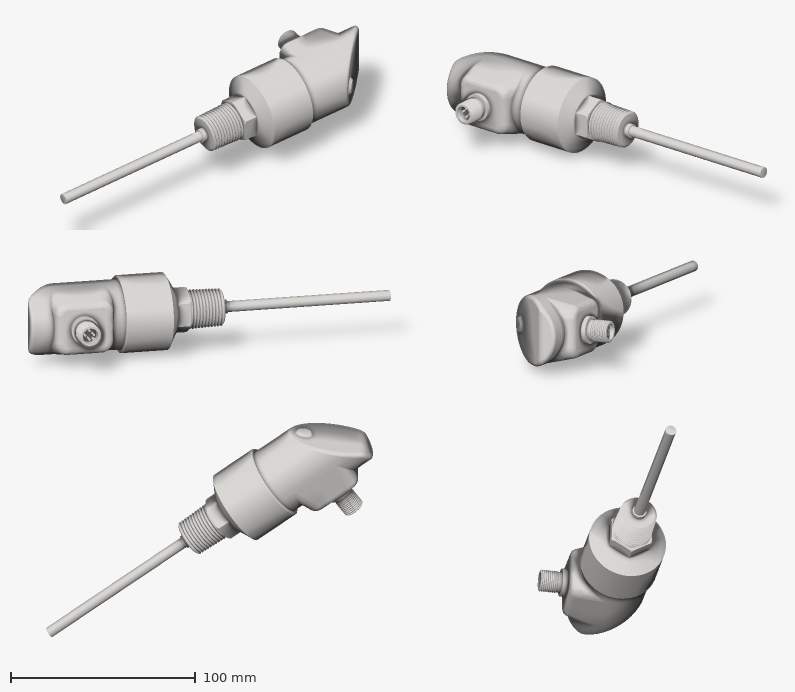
import cadquery as cq
import math

TOTAL_LENGTH = 204.5
TOTAL_WIDTH = 60.0

ROD_DIAMETER = 6.0
ROD_COLLAR_DIAMETER = 7.5
ROD_COLLAR_LENGTH = 2.9

THREAD_END_Y = 93.7
THREAD_TOP_Y = 113.0
THREAD_TIP_DIAMETER = 20.5
THREAD_TAPER = 1 / 16
THREAD_DEPTH = 1.2
THREAD_TURNS = 11

HEX_SIDES = 6
HEX_FLATS = 22.0
HEX_TOP_Y = 120.9
HEX_CHAMFER = 0.8

COLLAR_DIAMETER = 42.3
COLLAR_CONE_DIAMETER = 25.8
COLLAR_BOTTOM_Y = 125.5
COLLAR_TOP_Y = 151.7
COLLAR_CHAMFER = 0.6

HEAD_DIAMETER = 38.2
HEAD_RADIUS = HEAD_DIAMETER / 2
SLOPE_TOP_X = -10.0
SLOPE_ANGLE = 45.0
HEAD_RIDGE_RADIUS = 6.1
HEAD_RIM_RADIUS = 1.8

BUTTON_X = 13.3
BUTTON_DIAMETER = 10.2
BUTTON_HEIGHT = 1.5
BUTTON_TAPER = 45.0

BOSS_CENTRE_Y = 175.7
BOSS_FACE_X = -24.1
BOSS_FACE_LENGTH = 30.5
BOSS_DRAFT = 13.0
BOSS_COLLAR_SIDE_DRAFT = 17.0
BOSS_CORNER_RADIUS = 6.7
BOSS_FACE_RADIUS = 3.7
BOSS_TANGENT_GAP = 0.05

PLUG_CENTRE_Y = 176.5
PLUG_END_X = COLLAR_DIAMETER / 2 - TOTAL_WIDTH
PLUG_THREAD_X = -29.5
PLUG_THREAD_DIAMETER = 12.0
PLUG_THREAD_DEPTH = 0.6
PLUG_THREAD_TURNS = 9
PLUG_NECK_DIAMETER = 11.2
PLUG_FLANGE_DIAMETER = 15.1
PLUG_FLANGE_X = -27.2
PLUG_FLANGE_BACK_X = -24.7
PLUG_STEM_DIAMETER = 13.5
PLUG_OVERLAP = 1.0
BORE_DIAMETER = 8.5
BORE_DEPTH = 8.2
PIN_DIAMETER = 1.2
PIN_CIRCLE_DIAMETER = 5.0
PIN_COUNT = 4
PIN_LENGTH = 6.1
KEY_WIDTH = 1.6
KEY_HEIGHT = 1.0
KEY_ANGLE = 45.0


def thread_points(start, end, start_radius, end_radius, depth, turns):
    """(radius, position) corners of a V-ridged thread, beginning and ending at its root."""
    points = [(start_radius - depth, start)]
    for turn in range(turns):
        crest = (turn + 0.5) / turns
        root = (turn + 1) / turns
        crest_radius = start_radius + (end_radius - start_radius) * crest
        root_radius = start_radius + (end_radius - start_radius) * root - depth
        points.append((crest_radius, start + (end - start) * crest))
        points.append((root_radius, start + (end - start) * root))
    return points


def revolve_about_y(points):
    """Solid of revolution from (radius, y) points listed from the bottom end to the top end."""
    outline = [(0, points[0][1])] + points + [(0, points[-1][1])]
    return cq.Workplane("XY").polyline(outline).close().revolve(360, (0, 0), (0, 1))


def make_probe():
    rod_top = THREAD_END_Y - ROD_COLLAR_LENGTH
    tip_radius = THREAD_TIP_DIAMETER / 2
    top_radius = tip_radius + (THREAD_TOP_Y - THREAD_END_Y) * THREAD_TAPER / 2
    points = [
        (ROD_DIAMETER / 2, 0),
        (ROD_DIAMETER / 2, rod_top),
        (ROD_COLLAR_DIAMETER / 2, rod_top),
        (ROD_COLLAR_DIAMETER / 2, THREAD_END_Y),
    ]
    points += thread_points(THREAD_END_Y, THREAD_TOP_Y, tip_radius, top_radius, THREAD_DEPTH, THREAD_TURNS)
    points.append((top_radius - THREAD_DEPTH, HEX_TOP_Y))
    return revolve_about_y(points)


def make_hex():
    corner_radius = HEX_FLATS / 2 / math.cos(math.pi / HEX_SIDES)
    angles = [2 * math.pi * i / HEX_SIDES for i in range(HEX_SIDES)]
    corners = [(corner_radius * math.sin(angle), corner_radius * math.cos(angle)) for angle in angles]
    prism = (
        cq.Workplane("XZ", origin=(0, HEX_TOP_Y, 0))
        .polyline(corners)
        .close()
        .extrude(HEX_TOP_Y - THREAD_TOP_Y)
    )
    rounding = revolve_about_y([
        (corner_radius - HEX_CHAMFER, THREAD_TOP_Y),
        (corner_radius, THREAD_TOP_Y + HEX_CHAMFER),
        (corner_radius, HEX_TOP_Y),
    ])
    return prism.intersect(rounding)


def make_collar():
    radius = COLLAR_DIAMETER / 2
    return revolve_about_y([
        (COLLAR_CONE_DIAMETER / 2, HEX_TOP_Y),
        (radius, COLLAR_BOTTOM_Y),
        (radius, COLLAR_TOP_Y - COLLAR_CHAMFER),
        (radius - COLLAR_CHAMFER, COLLAR_TOP_Y),
    ])


def slope_y(x):
    """Y of the slanted head face at a given X."""
    return TOTAL_LENGTH - (x - SLOPE_TOP_X) * math.tan(math.radians(SLOPE_ANGLE))


def make_head():
    side = [
        (-HEAD_RADIUS, COLLAR_TOP_Y),
        (HEAD_RADIUS, COLLAR_TOP_Y),
        (HEAD_RADIUS, slope_y(HEAD_RADIUS)),
        (SLOPE_TOP_X, TOTAL_LENGTH),
        (-HEAD_RADIUS, TOTAL_LENGTH),
    ]
    wedge = cq.Workplane("XY").polyline(side).close().extrude(HEAD_RADIUS, both=True)
    cylinder = revolve_about_y([(HEAD_RADIUS, COLLAR_TOP_Y), (HEAD_RADIUS, TOTAL_LENGTH)])
    head = cylinder.intersect(wedge)
    head = head.faces(">Y").edges("|Z").fillet(HEAD_RIDGE_RADIUS)
    return head.faces(">Y").edges("not |Z").fillet(HEAD_RIM_RADIUS)


def make_button():
    slope = cq.Plane(
        origin=(BUTTON_X, slope_y(BUTTON_X), 0),
        xDir=(0, 0, 1),
        normal=(math.sin(math.radians(SLOPE_ANGLE)), math.cos(math.radians(SLOPE_ANGLE)), 0),
    )
    return cq.Workplane(slope).circle(BUTTON_DIAMETER / 2).extrude(BUTTON_HEIGHT, taper=BUTTON_TAPER)


def make_boss():
    draft = math.radians(BOSS_DRAFT)
    base_x = -HEAD_RADIUS * math.sin(draft)
    depth = base_x - BOSS_FACE_X
    flare = depth * math.tan(draft)
    collar_side_flare = depth * math.tan(math.radians(BOSS_COLLAR_SIDE_DRAFT))
    base_width = 2 * (HEAD_RADIUS * math.cos(draft) - BOSS_TANGENT_GAP)
    base_length = BOSS_FACE_LENGTH + flare + collar_side_flare
    base_shift = (flare - collar_side_flare) / 2
    face = cq.Plane(origin=(BOSS_FACE_X, BOSS_CENTRE_Y, 0), xDir=(0, 1, 0), normal=(1, 0, 0))
    boss = (
        cq.Workplane(face)
        .rect(BOSS_FACE_LENGTH, base_width - 2 * flare)
        .workplane(offset=depth)
        .center(base_shift, 0)
        .rect(base_length, base_width)
        .loft(ruled=True)
    )
    boss = boss.edges("not(#X)").fillet(BOSS_CORNER_RADIUS)
    return boss.faces("<X").edges().fillet(BOSS_FACE_RADIUS)


def make_plug():
    thread_radius = PLUG_THREAD_DIAMETER / 2
    points = thread_points(
        PLUG_END_X, PLUG_THREAD_X, thread_radius, thread_radius, PLUG_THREAD_DEPTH, PLUG_THREAD_TURNS
    )
    points += [
        (PLUG_NECK_DIAMETER / 2, PLUG_THREAD_X),
        (PLUG_NECK_DIAMETER / 2, PLUG_FLANGE_X),
        (PLUG_FLANGE_DIAMETER / 2, PLUG_FLANGE_X),
        (PLUG_FLANGE_DIAMETER / 2, PLUG_FLANGE_BACK_X),
        (PLUG_STEM_DIAMETER / 2, PLUG_FLANGE_BACK_X),
        (PLUG_STEM_DIAMETER / 2, BOSS_FACE_X + PLUG_OVERLAP),
    ]
    outline = [(PLUG_END_X, 0)] + [(x, radius) for radius, x in points] + [(points[-1][1], 0)]
    plug = cq.Workplane("XY").polyline(outline).close().revolve(360, (0, 0), (1, 0))

    bore_floor = cq.Plane(origin=(PLUG_END_X + BORE_DEPTH, 0, 0), xDir=(0, 1, 0), normal=(-1, 0, 0))
    plug = plug.cut(cq.Workplane(bore_floor).circle(BORE_DIAMETER / 2).extrude(BORE_DEPTH))
    pins = (
        cq.Workplane(bore_floor)
        .polarArray(PIN_CIRCLE_DIAMETER / 2, 0, 360, PIN_COUNT)
        .circle(PIN_DIAMETER / 2)
        .extrude(PIN_LENGTH)
    )
    key = (
        cq.Workplane(bore_floor)
        .transformed(rotate=(0, 0, 180 - KEY_ANGLE))
        .center(BORE_DIAMETER / 2, 0)
        .rect(2 * KEY_HEIGHT, KEY_WIDTH)
        .extrude(PIN_LENGTH)
    )
    return plug.union(pins).union(key).translate((0, PLUG_CENTRE_Y, 0))


result = (
    make_head()
    .union(make_boss())
    .union(make_button())
    .union(make_collar())
    .union(make_hex())
    .union(make_probe())
    .union(make_plug())
)